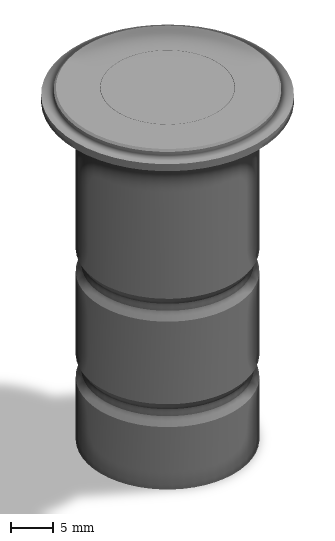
import cadquery as cq
import math

height = 50.0
barrel_radius = 21.8 / 2

flange_radius = 30.0 / 2
flange_thickness = 1.0
cap_radius = 27.0 / 2
cap_height = 1.0
cap_chamfer = 0.25
flange_top = height - cap_height
flange_bottom = flange_top - flange_thickness

cap_fillet = 0.25

groove_centers = (10.5, 25.5)
groove_floor_radius = 20.5 / 2
groove_floor_width = 1.0
groove_wall_angle = 60.0

gap_outer_radius = 16.0 / 2
plug_radius = 15.9 / 2
gap_depth = 0.25


def groove_points(center):
    """Profile points of one groove, from bottom to top."""
    wall_rise = (barrel_radius - groove_floor_radius) * math.tan(math.radians(groove_wall_angle))
    half_floor = groove_floor_width / 2
    half_mouth = half_floor + wall_rise
    return [
        (barrel_radius, center - half_mouth),
        (groove_floor_radius, center - half_floor),
        (groove_floor_radius, center + half_floor),
        (barrel_radius, center + half_mouth),
    ]


def turned_body():
    """Barrel, flange and cap revolved about Z from one half profile."""
    lower_points = [(0, 0), (barrel_radius, 0)]
    for center in groove_centers:
        lower_points += groove_points(center)
    lower_points += [
        (barrel_radius, flange_bottom),
        (flange_radius, flange_bottom),
        (flange_radius, flange_top),
        (cap_radius + cap_fillet, flange_top),
    ]

    arc_mid_offset = cap_fillet * (1 - math.sqrt(0.5))
    arc_middle = (cap_radius + arc_mid_offset, flange_top + arc_mid_offset)
    arc_end = (cap_radius, flange_top + cap_fillet)

    profile = (
        cq.Workplane("XZ")
        .polyline(lower_points)
        .threePointArc(arc_middle, arc_end)
        .lineTo(cap_radius, height - cap_chamfer)
        .lineTo(cap_radius - cap_chamfer, height)
        .lineTo(0, height)
        .close()
    )
    return profile.revolve(360, (0, 0, 0), (0, 1, 0))


def plug_gap():
    """Ring cut into the cap face around the center plug."""
    return (
        cq.Workplane("XY")
        .workplane(offset=height - gap_depth)
        .circle(gap_outer_radius)
        .circle(plug_radius)
        .extrude(gap_depth)
    )


result = turned_body().cut(plug_gap())